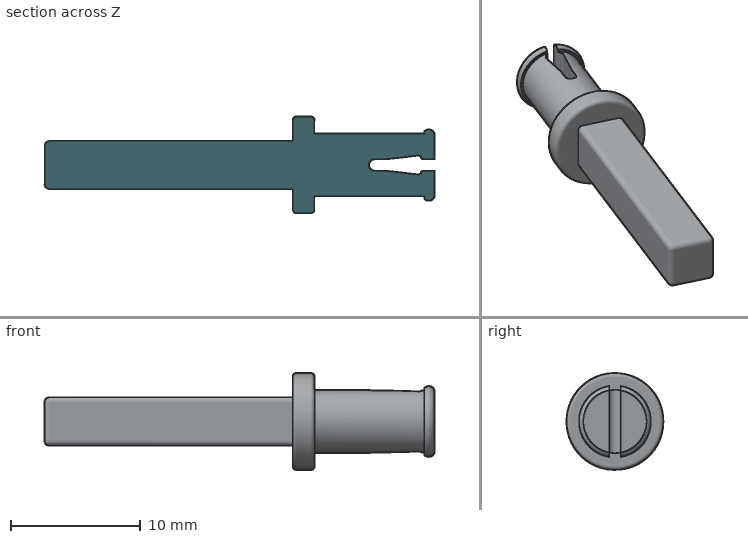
import cadquery as cq
import math

total_length = 30.1
bar_length = 19.15
flange_thickness = 1.7
bead_width = 0.8

flange_diameter = 7.5
bar_width = flange_diameter / 2
barrel_diameter = 4.88
bead_diameter = 5.55

bead_crest_radius = 0.45
bead_crest_offset = 0.35
bead_nose_length = 0.25

bar_edge_radius = 0.4
flange_edge_radius = 0.3

slot_length = 5.06
slot_width = 0.86
slot_neck_length = 1.3
slot_widest_width = 1.48
slot_mouth_length = 1.0
slot_shoulder_length = 0.1
slot_shoulder_radius = 0.2
slot_taper_blend_radius = 1.0

selection_margin = 0.05

bead_start = total_length - bead_width


def square_bar():
    """Square bar with rounded long edges and a rounded free end."""
    bar = cq.Workplane("YZ").rect(bar_width, bar_width).extrude(bar_length)
    return bar.edges("|X or <X").fillet(bar_edge_radius)


def flange():
    """Round collar between the bar and the barrel."""
    disc = cq.Workplane("YZ").workplane(offset=bar_length).circle(flange_diameter / 2)
    return disc.extrude(flange_thickness).edges().fillet(flange_edge_radius)


def bead_crest_height(x):
    """Radius of the bead's crest arc at the given X."""
    from_middle = x - (bead_start + bead_crest_offset)
    drop = bead_crest_radius - math.sqrt(bead_crest_radius ** 2 - from_middle ** 2)
    return bead_diameter / 2 - drop


def barrel():
    """Solid barrel ending in a retaining bead with a rounded rim."""
    barrel_radius = barrel_diameter / 2
    crest_x = bead_start + bead_crest_offset
    nose_x = total_length - bead_nose_length
    profile = (
        cq.Workplane("XY")
        .moveTo(bar_length, 0)
        .lineTo(bar_length, barrel_radius)
        .lineTo(bead_start, barrel_radius)
        .lineTo(bead_start, bead_crest_height(bead_start))
        .threePointArc((crest_x, bead_crest_height(crest_x)), (nose_x, bead_crest_height(nose_x)))
        .tangentArcPoint((total_length, barrel_radius), relative=False)
        .lineTo(total_length, 0)
        .close()
    )
    return profile.revolve(360, (0, 0, 0), (1, 0, 0))


def round_upright_edges(body, first_x, last_x, radius):
    """Fillet the Z-parallel edges of a body that stand between two X positions."""
    reach = bead_diameter * 2
    slab = cq.selectors.BoxSelector(
        (first_x - selection_margin, -reach, -reach),
        (last_x + selection_margin, reach, reach),
    )
    return body.edges("|Z").edges(slab).fillet(radius)


def slot():
    """Vertical through slot: round root, short neck, widening taper, then a narrower mouth."""
    half_width = slot_width / 2
    widest_half = slot_widest_width / 2
    root_x = total_length - slot_length
    root_center_x = root_x + half_width
    taper_x = root_x + slot_neck_length
    mouth_x = total_length - slot_mouth_length
    widest_x = mouth_x - slot_shoulder_length

    outline = (
        cq.Workplane("XY")
        .moveTo(root_center_x, -half_width)
        .threePointArc((root_x, 0), (root_center_x, half_width))
        .lineTo(taper_x, half_width)
        .lineTo(widest_x, widest_half)
        .lineTo(mouth_x, half_width)
        .lineTo(total_length, half_width)
        .lineTo(total_length, -half_width)
        .lineTo(mouth_x, -half_width)
        .lineTo(widest_x, -widest_half)
        .lineTo(taper_x, -half_width)
        .close()
    )
    cutter = outline.extrude(bead_diameter, both=True)
    cutter = round_upright_edges(cutter, taper_x, taper_x, slot_taper_blend_radius)
    return round_upright_edges(cutter, widest_x, mouth_x, slot_shoulder_radius)


result = square_bar().union(flange()).union(barrel()).cut(slot())